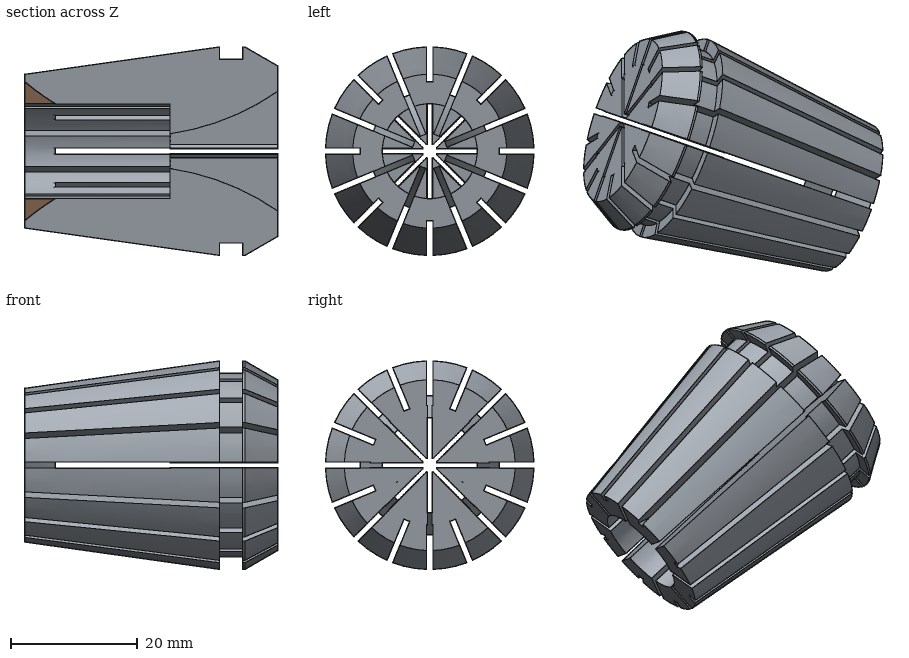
import cadquery as cq
import math

length = 40.0
max_radius = 16.5
cone_length = 30.8
cone_angle = 8.0
groove_width = 3.65
groove_radius = 14.55
rim_width = 0.35
rim_angle = 30.0

relief_radius = 7.5
relief_depth = 23.0
bore_radius = 1.15

slots_per_set = 8
slot_width = 0.95
slot_inner_radius = 2.75
slot_end_radius = 9.46
saw_radius = 40.0
inner_slot_width = 0.75
bridge_length = 4.85
bridge_radius = 11.0

slot_pitch = 360.0 / slots_per_set
x_start = -length / 2
x_end = length / 2
x_relief = x_start + relief_depth
x_bridge = x_start + bridge_length
clearance = 1.0
cut_radius = max_radius + clearance


def turned_body():
    """Revolve the outer profile and bore it from the nose."""
    x_groove = x_start + cone_length
    x_rim = x_groove + groove_width
    x_taper = x_rim + rim_width
    nose_radius = max_radius - cone_length * math.tan(math.radians(cone_angle))
    end_radius = max_radius - (x_end - x_taper) * math.tan(math.radians(rim_angle))
    profile = [
        (x_start, relief_radius),
        (x_start, nose_radius),
        (x_groove, max_radius),
        (x_groove, groove_radius),
        (x_rim, groove_radius),
        (x_rim, max_radius),
        (x_taper, max_radius),
        (x_end, end_radius),
        (x_end, bore_radius),
        (x_relief, bore_radius),
        (x_relief, relief_radius),
    ]
    return cq.Workplane("XY").polyline(profile).close().revolve(360, (0, 0, 0), (1, 0, 0))


def slot_plate(outline, width):
    """Thicken an outline drawn in the XZ plane evenly to both sides."""
    return outline.close().extrude(width / 2, both=True)


def floor_arc_middle(start, end):
    """Middle point of a saw-radius arc between two floor points, bulging towards the axis."""
    run = end[0] - start[0]
    rise = end[1] - start[1]
    chord = math.hypot(run, rise)
    sag = saw_radius - math.sqrt(saw_radius**2 - (chord / 2) ** 2)
    return (
        (start[0] + end[0]) / 2 + sag * rise / chord,
        (start[1] + end[1]) / 2 - sag * run / chord,
    )


def saw_cut():
    """Slot through the nose whose floor curves outwards towards the large end."""
    floor_start = (x_relief, slot_inner_radius)
    floor_end = (x_end, slot_end_radius)
    outline = (
        cq.Workplane("XZ")
        .moveTo(x_start, cut_radius)
        .lineTo(x_start, slot_inner_radius)
        .lineTo(*floor_start)
        .threePointArc(floor_arc_middle(floor_start, floor_end), floor_end)
        .lineTo(x_end, cut_radius)
    )
    return slot_plate(outline, slot_width)


def bridge():
    """Uncut wall at the nose; its outside curves down to the wide bore."""
    floor_start = (x_start, bridge_radius)
    floor_end = (x_bridge, relief_radius)
    outline = (
        cq.Workplane("XZ")
        .moveTo(x_start, 0)
        .lineTo(*floor_start)
        .threePointArc(floor_arc_middle(floor_start, floor_end), floor_end)
        .lineTo(x_bridge, 0)
    )
    return slot_plate(outline, slot_width)


def inner_slot():
    """Narrow slot from the axis out to the saw cut, behind the wide bore."""
    outline = (
        cq.Workplane("XZ")
        .moveTo(x_relief, 0)
        .lineTo(x_relief, slot_end_radius)
        .lineTo(x_end, slot_end_radius)
        .lineTo(x_end, 0)
    )
    return slot_plate(outline, inner_slot_width)


def about_axis(tool, angle):
    """Turn a cutting tool about the X axis."""
    return tool.rotate((0, 0, 0), (1, 0, 0), angle)


result = turned_body()
open_slot = saw_cut()
bridged_slot = open_slot.cut(bridge()).union(inner_slot())
for index in range(slots_per_set):
    angle = index * slot_pitch
    result = result.cut(about_axis(bridged_slot, angle))
    result = result.cut(about_axis(open_slot, angle + slot_pitch / 2))